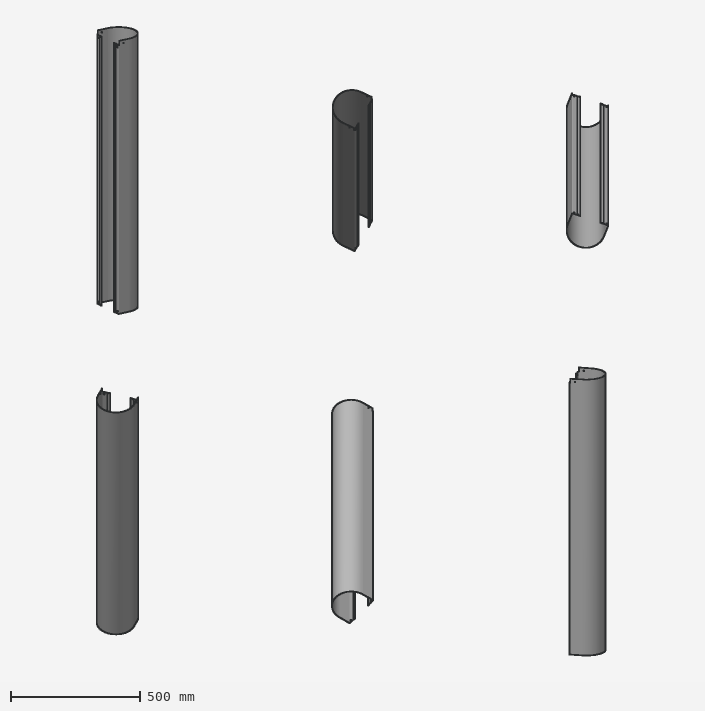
import cadquery as cq

length = 1120.0
width = 150.0
wall_depth = 125.0
sheet = 0.75
bend_radius = 1.0
flange_width = 33.5
hem_start = 20.5
hem_gap = 0.75
hem_corner = 6.5
top_notch = 17.0
relief_depth = 3.0

flange_hole_diameter = 4.0
flange_hole_side_inset = 8.0
flange_hole_end_inset = 10.0
wall_hole_diameter = 2.5
wall_hole_from_top = 12.5
wall_hole_from_flange = 22.5

outer_radius = width / 2
flange_outer_y = outer_radius - wall_depth
flange_inner_y = flange_outer_y + sheet
hem_step = hem_gap + sheet
hem_outer_y = flange_outer_y - hem_step
flange_edge_x = outer_radius - flange_width
hem_edge_x = outer_radius - hem_start
flange_length = length - top_notch


def arch_body(half_width, base_y, corner_radius):
    """Full-length solid with a round crown and rounded lower corners."""
    return (
        cq.Workplane("XY")
        .moveTo(-half_width, base_y)
        .lineTo(-half_width, 0)
        .threePointArc((0, half_width), (half_width, 0))
        .lineTo(half_width, base_y)
        .close()
        .extrude(length)
        .edges("|Z and <Y")
        .fillet(corner_radius)
    )


def block(x_min, x_max, y_min, y_max, z_min, z_max):
    """Box given by its limits along each axis."""
    return (
        cq.Workplane("XY", origin=(x_min, y_min, z_min))
        .box(x_max - x_min, y_max - y_min, z_max - z_min, centered=False)
    )


def shell():
    """Arched sheet whose straight walls turn inward into two flanges."""
    outside = arch_body(outer_radius, flange_outer_y, bend_radius)
    inside = arch_body(outer_radius - sheet, flange_inner_y, bend_radius - sheet)
    mouth = block(-flange_edge_x, flange_edge_x, flange_outer_y, flange_inner_y, 0, length)
    return outside.cut(inside).cut(mouth)


def hem():
    """Layer folded back over the +X flange, joined to it along the free edge."""
    layer = (
        block(flange_edge_x, hem_edge_x, hem_outer_y, hem_outer_y + sheet, 0, flange_length)
        .edges("|Y and >X")
        .chamfer(hem_corner)
    )
    fold = block(flange_edge_x, flange_edge_x + sheet, hem_outer_y, flange_inner_y, 0, flange_length)
    return layer.union(fold)


def top_relief():
    """Space above the flanges, reaching a little into the side walls."""
    relief_y = flange_outer_y + relief_depth
    return block(-outer_radius, outer_radius, flange_outer_y, relief_y, flange_length, length)


def flange_holes():
    """Cutters for one hole near each end of both flanges."""
    hole_x = outer_radius - flange_hole_side_inset
    heights = (flange_hole_end_inset, flange_length - flange_hole_end_inset)
    points = [(side * hole_x, z) for side in (-1, 1) for z in heights]
    return (
        cq.Workplane("XZ", origin=(0, flange_inner_y, 0))
        .pushPoints(points)
        .circle(flange_hole_diameter / 2)
        .extrude(sheet)
    )


def wall_holes():
    """Cutter through both side walls near the top end."""
    return (
        cq.Workplane("YZ")
        .center(flange_outer_y + wall_hole_from_flange, length - wall_hole_from_top)
        .circle(wall_hole_diameter / 2)
        .extrude(outer_radius, both=True)
    )


right_hem = hem()
result = shell().cut(top_relief()).union(right_hem).union(right_hem.mirror("YZ"))
result = result.cut(flange_holes()).cut(wall_holes())